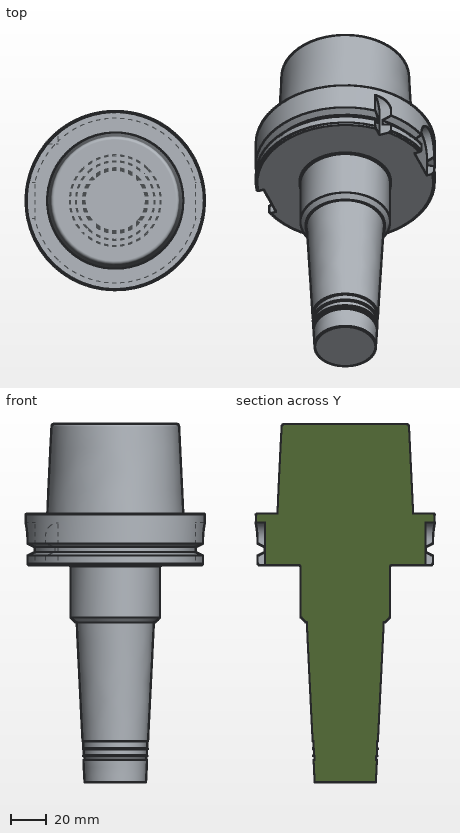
import cadquery as cq

total_height = 200.0
flange_top = 150.0
flange_bottom = 121.0
boss_bottom = 92.0

shank_base_radius = 38.0
shank_top_radius = 35.5
shank_edge = 1.8

flange_radius = 50.0
flange_top_chamfer = 0.5
flange_bottom_chamfer = 1.0
groove_radius = 46.0
groove_floor_bottom = 128.5
groove_floor_top = 131.2
groove_flank_height = 2.0

boss_radius = 25.0
boss_chamfer = 2.8
boss_root_chamfer = 0.5
nose_top_radius = 21.5
nose_bottom_radius = 17.2
nose_chamfer = 0.5

ring_bands = ((12.5, 14.8, 0.5), (14.8, 18.8, 0.2), (18.8, 23.2, 0.2))
ring_flank_height = 0.5

slot_width = 20.0
slot_floor = 44.8
slot_top = 144.8
notch_width = 16.0
notch_floor = 32.0
notch_center_y = 39.5


def nose_radius(height):
    """Radius of the nose cone at a height."""
    nose_top = boss_bottom - boss_chamfer
    growth = (nose_top_radius - nose_bottom_radius) / nose_top
    return nose_bottom_radius + growth * height


def make_body():
    """Revolve the whole turned outline around Z."""
    outline = [
        (0, 0),
        (nose_bottom_radius - nose_chamfer, 0),
        (nose_radius(nose_chamfer), nose_chamfer),
    ]
    for bottom, top, depth in ring_bands:
        outline += [
            (nose_radius(bottom), bottom),
            (nose_radius(bottom) - depth, bottom + ring_flank_height),
            (nose_radius(bottom) - depth, top - ring_flank_height),
        ]
    last_ring_top = ring_bands[-1][1]
    outline += [
        (nose_radius(last_ring_top), last_ring_top),
        (nose_top_radius, boss_bottom - boss_chamfer),
        (boss_radius - boss_chamfer, boss_bottom - boss_chamfer),
        (boss_radius, boss_bottom),
        (boss_radius, flange_bottom - boss_root_chamfer),
        (boss_radius + boss_root_chamfer, flange_bottom),
        (flange_radius - flange_bottom_chamfer, flange_bottom),
        (flange_radius, flange_bottom + flange_bottom_chamfer),
        (flange_radius, groove_floor_bottom - groove_flank_height),
        (groove_radius, groove_floor_bottom),
        (groove_radius, groove_floor_top),
        (flange_radius, groove_floor_top + groove_flank_height),
        (flange_radius, flange_top - flange_top_chamfer),
        (flange_radius - flange_top_chamfer, flange_top),
        (shank_base_radius, flange_top),
        (shank_top_radius, total_height),
        (0, total_height),
    ]
    turned = cq.Workplane("XZ").polyline(outline).close().revolve(360, (0, 0), (0, 1))
    return turned.faces(">Z").edges().fillet(shank_edge)


def slot_cutter(width, floor, center_y):
    """Round-topped cutter open at the flange bottom, filling X from floor to the rim."""
    radius = width / 2
    arc_start = slot_top - radius
    return (
        cq.Workplane("YZ", origin=(floor, 0, 0))
        .moveTo(center_y - radius, flange_bottom)
        .lineTo(center_y - radius, arc_start)
        .threePointArc((center_y, slot_top), (center_y + radius, arc_start))
        .lineTo(center_y + radius, flange_bottom)
        .close()
        .extrude(flange_radius - floor)
    )


drive_slot = slot_cutter(slot_width, slot_floor, 0)
notch = slot_cutter(notch_width, notch_floor, notch_center_y).mirror("YZ")

result = make_body().cut(drive_slot).cut(drive_slot.mirror("YZ")).cut(notch)